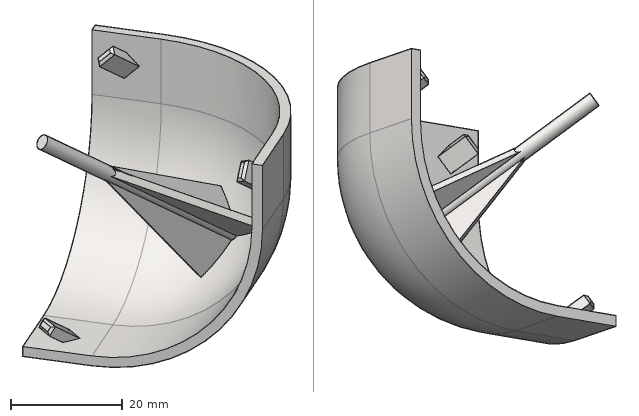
import cadquery as cq
import math

half_side = 45.0
wall = 2.0
outer_radius = 32.0
inner_radius = outer_radius - wall

post_radius = 1.4
post_start = 4.85

spoke_count = 3

fin_thickness = 1.5
fin_apex = 17.05
fin_half_angle = 16.0

peg_width = 4.0
peg_depth = 2.0
peg_offset = 30.0
peg_start = 26.83
peg_chamfer = 0.5

diagonal = half_side * math.sqrt(3)


def rounded_octant(side, radius):
    """Cube from the origin towards +X, +Y, -Z with the three edges at its far corner rounded."""
    cube = cq.Workplane("XY").box(side, side, side, centered=False).translate((0, 0, -side))
    far_edges = cube.edges("(>X and >Y) or (>X and <Z) or (>Y and <Z)")
    return far_edges.fillet(radius)


def make_post():
    return cq.Workplane("XY").workplane(offset=post_start).circle(post_radius).extrude(diagonal - post_start)


def make_fin():
    reach = (diagonal - fin_apex) * math.tan(math.radians(fin_half_angle))
    profile = cq.Workplane("XZ").polyline([(0, fin_apex), (reach, diagonal), (0, diagonal)]).close()
    return profile.extrude(fin_thickness / 2, both=True)


def make_peg():
    section = cq.Workplane("XY").workplane(offset=peg_start).center(peg_offset, 0).rect(peg_depth, peg_width)
    return section.extrude(diagonal - peg_start).faces("<Z").chamfer(peg_chamfer)


def around_diagonal(feature):
    """Yield copies of a feature evenly spaced about local Z."""
    for index in range(spoke_count):
        yield feature.rotate((0, 0, 0), (0, 0, 1), index * 360 / spoke_count)


inner_parts = make_post()
for feature in (make_fin(), make_peg()):
    for copy in around_diagonal(feature):
        inner_parts = inner_parts.union(copy)

diagonal_plane = cq.Plane(origin=(0, 0, 0), xDir=(-1, -1, -2), normal=(1, 1, -1))
inner_parts = cq.Workplane(inner_parts.val().moved(cq.Location(diagonal_plane)))

envelope = rounded_octant(half_side, outer_radius)
cavity = rounded_octant(half_side - wall, inner_radius)

result = envelope.cut(cavity).union(inner_parts.intersect(envelope))